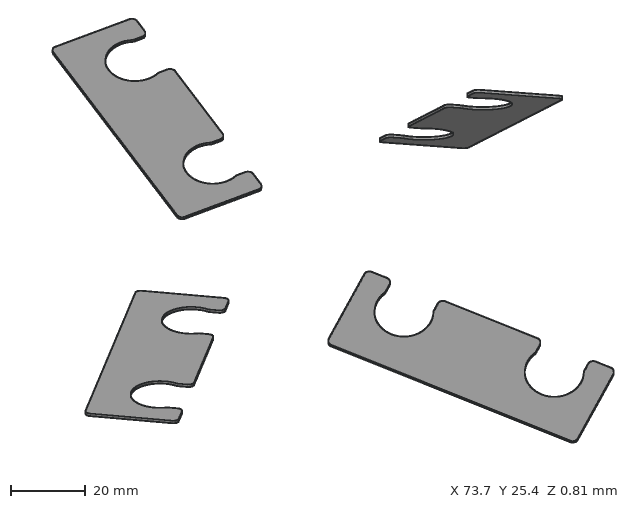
import cadquery as cq
import math

plate_length = 73.66
plate_width = 25.4
plate_thickness = 0.81
corner_radius = 1.524

notch_spacing = 44.45
seat_radius = 7.874
notch_mouth_width = 14.224
neck_radius = corner_radius
notch_center_depth = 7.62

notch_center_y = plate_width / 2 - notch_center_depth


def plate_blank():
    """Rectangular plate lying on the XY plane."""
    return cq.Workplane("XY").box(
        plate_length, plate_width, plate_thickness, centered=(True, True, False)
    )


def notch_cutter(center_x):
    """Round seat joined to a straight, narrower mouth that reaches the +Y edge."""
    seat = (
        cq.Workplane("XY")
        .center(center_x, notch_center_y)
        .circle(seat_radius)
        .extrude(plate_thickness)
    )
    mouth = cq.Workplane("XY").box(
        notch_mouth_width, notch_center_depth, plate_thickness, centered=(True, False, False)
    )
    mouth = mouth.translate((center_x, notch_center_y, 0))
    return seat.union(mouth)


def keyhole_notch(center_x):
    """Notch cutter with the corners between seat and mouth blended."""
    seat_and_mouth = notch_cutter(center_x)
    neck_y = notch_center_y + math.sqrt(seat_radius**2 - (notch_mouth_width / 2) ** 2)
    for side in (-1, 1):
        neck = (center_x + side * notch_mouth_width / 2, neck_y, plate_thickness / 2)
        neck_edge = cq.selectors.NearestToPointSelector(neck)
        seat_and_mouth = seat_and_mouth.edges("|Z").edges(neck_edge).fillet(neck_radius)
    return seat_and_mouth


def round_corners(plate):
    """Round the upright edges of the +Y and -Y sides: plate corners and notch mouths."""
    return plate.faces("<Y or >Y").edges("|Z").fillet(corner_radius)


plate = plate_blank()
for side in (-1, 1):
    plate = plate.cut(keyhole_notch(side * notch_spacing / 2))

result = round_corners(plate)